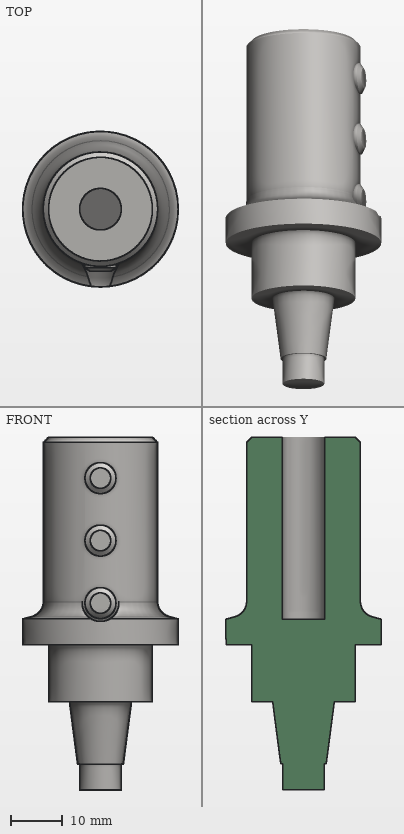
import cadquery as cq
import math

total_height = 68.0
tip_radius = 4.0
tip_top = 5.0
cone_lower_radius = 4.4
cone_upper_radius = 6.0
cone_top = 17.0
spigot_radius = 10.0
flange_bottom = 28.0
flange_diameter = 30.0
flange_radius = flange_diameter / 2
flange_edge_top = 33.0
flange_slope = math.radians(15)
barrel_radius = 11.0
barrel_chamfer = 1.0
fillet_radius = 3.0

fillet_center_x = barrel_radius + fillet_radius
fillet_end_x = fillet_center_x - fillet_radius * math.sin(flange_slope)
fillet_end_z = flange_edge_top + (flange_radius - fillet_end_x) * math.tan(flange_slope)
fillet_center_z = fillet_end_z + fillet_radius * math.cos(flange_slope)

bore_radius = 4.0
bore_bottom = flange_edge_top

screw_count = 3
screw_pitch = 12.05
lowest_screw_height = 36.05
screw_radius = 3.0
screw_tip_radius = 2.0
screw_reach = 12.0
screw_chamfer_length = 0.7
screw_burial_gap = 1.35
screw_root = bore_radius + screw_burial_gap
relief_radius = 3.55


def make_body():
    """Revolve the stepped profile, with a fillet tangent to barrel and sloped flange."""
    middle_angle = (math.pi + 1.5 * math.pi - flange_slope) / 2
    fillet_middle = (
        fillet_center_x + fillet_radius * math.cos(middle_angle),
        fillet_center_z + fillet_radius * math.sin(middle_angle),
    )
    return (
        cq.Workplane("XZ")
        .lineTo(tip_radius, 0)
        .lineTo(tip_radius, tip_top)
        .lineTo(cone_lower_radius, tip_top)
        .lineTo(cone_upper_radius, cone_top)
        .lineTo(spigot_radius, cone_top)
        .lineTo(spigot_radius, flange_bottom)
        .lineTo(flange_radius, flange_bottom)
        .lineTo(flange_radius, flange_edge_top)
        .lineTo(fillet_end_x, fillet_end_z)
        .threePointArc(fillet_middle, (barrel_radius, fillet_center_z))
        .lineTo(barrel_radius, total_height - barrel_chamfer)
        .lineTo(barrel_radius - barrel_chamfer, total_height)
        .lineTo(0, total_height)
        .close()
        .revolve(360, (0, 0), (0, 1))
    )


def make_cylinder(radius, bottom, top):
    """Vertical cylinder on the main axis."""
    return cq.Workplane("XY").workplane(offset=bottom).circle(radius).extrude(top - bottom)


def make_screw_relief():
    """Round channel through fillet and flange rim that leaves the barrel intact."""
    channel = (
        cq.Workplane("XZ")
        .center(0, lowest_screw_height)
        .circle(relief_radius)
        .extrude(2 * flange_radius)
    )
    channel = channel.cut(make_cylinder(barrel_radius, 0, total_height))
    return channel.cut(make_cylinder(3 * flange_radius, fillet_center_z, total_height))


def make_screw(height):
    """Set screw pointing toward -Y with a conical chamfer at its outer end."""
    return (
        cq.Workplane("XY", origin=(0, 0, height))
        .moveTo(0, -screw_root)
        .lineTo(screw_radius, -screw_root)
        .lineTo(screw_radius, -(screw_reach - screw_chamfer_length))
        .lineTo(screw_tip_radius, -screw_reach)
        .lineTo(0, -screw_reach)
        .close()
        .revolve(360, (0, 0), (0, 1))
    )


result = make_body()
result = result.cut(make_cylinder(bore_radius, bore_bottom, total_height))
result = result.cut(make_screw_relief())
for index in range(screw_count):
    result = result.union(make_screw(lowest_screw_height + index * screw_pitch))